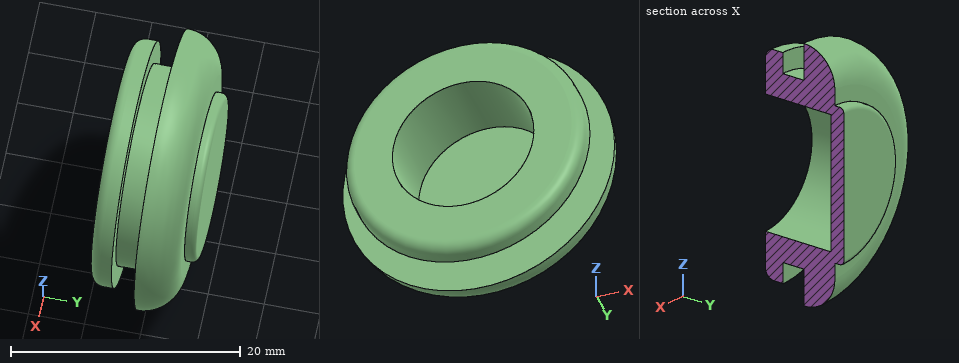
import cadquery as cq

dome_diameter = 25.0
lip_diameter = 22.0
neck_diameter = 18.0
boss_diameter = 15.0
bore_diameter = 13.0

lip_length = 2.0
neck_length = 2.3
dome_length = 3.5
boss_length = 1.0

lip_rounding = 1.0
boss_rounding = 0.5
floor_thickness = 1.5

neck_start = lip_length
dome_start = neck_start + neck_length
boss_start = dome_start + dome_length
back_face = boss_start + boss_length
bore_depth = back_face - floor_thickness


def disc(diameter, start, length):
    """Round step that begins at Y = start and runs toward +Y."""
    plane = cq.Workplane("XZ", origin=(0, start, 0))
    return plane.circle(diameter / 2).extrude(-length)


lip = disc(lip_diameter, 0, lip_length).faces("<Y").edges().fillet(lip_rounding)
neck = disc(neck_diameter, neck_start, neck_length)
boss = disc(boss_diameter, boss_start, boss_length).faces(">Y").edges().fillet(boss_rounding)

dome_flat_radius = dome_diameter / 2 - dome_length
arc_offset = dome_length * 0.5 ** 0.5
dome = (
    cq.Workplane("XY")
    .moveTo(0, dome_start)
    .lineTo(dome_diameter / 2, dome_start)
    .threePointArc(
        (dome_flat_radius + arc_offset, dome_start + arc_offset),
        (dome_flat_radius, boss_start),
    )
    .lineTo(0, boss_start)
    .close()
    .revolve(360, (0, 0, 0), (0, 1, 0))
)

bore = disc(bore_diameter, 0, bore_depth)

result = lip.union(neck).union(dome).union(boss).cut(bore)